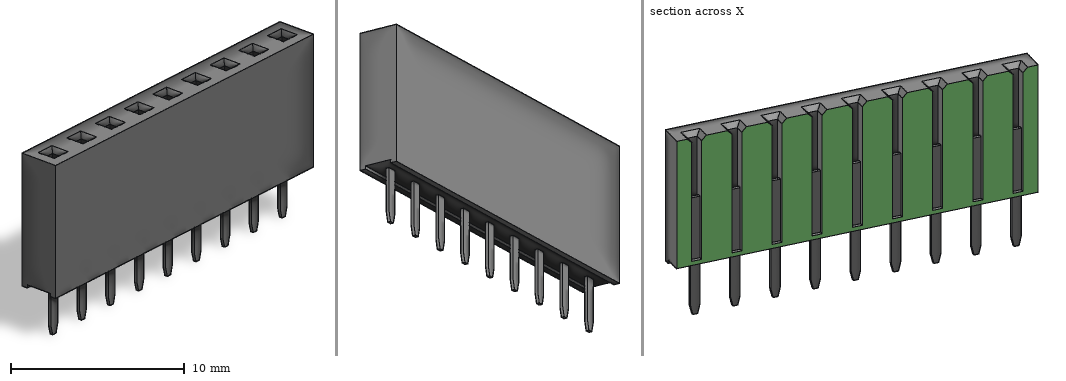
import cadquery as cq

pin_count = 9
pitch = 2.54
body_width = pitch
body_length = pin_count * pitch
body_height = 8.5
tail_length = 3.1

foot_width = 0.4
foot_height = 0.2

funnel_mouth = 1.2
hole_size = 0.6
funnel_depth = 0.3
hole_depth = 8.0

pin_thickness = 0.2
pin_width = 0.6
tip_width = 0.3
tip_length = 0.6
pin_rise = 4.0

pin_bottom = -tail_length
hole_floor = body_height - hole_depth
pin_top = hole_floor + pin_rise
pin_positions = [(i - (pin_count - 1) / 2) * pitch for i in range(pin_count)]


def make_body():
    """Rectangular housing standing on two long feet, with its base at Z = 0."""
    block = cq.Workplane("XY").box(body_width, body_length, body_height, centered=(True, True, False))
    recess_width = body_width - 2 * foot_width
    recess = cq.Workplane("XY").box(recess_width, body_length, foot_height, centered=(True, True, False))
    return block.cut(recess)


def make_socket(y):
    """Cutter for one socket: funnel mouth at the top and blind square hole below it."""
    funnel = (
        cq.Workplane("XY", origin=(0, y, body_height))
        .rect(funnel_mouth, funnel_mouth)
        .workplane(offset=-funnel_depth)
        .rect(hole_size, hole_size)
        .loft(ruled=True)
    )
    hole = (
        cq.Workplane("XY", origin=(0, y, hole_floor))
        .rect(hole_size, hole_size)
        .extrude(hole_depth - funnel_depth)
    )
    return funnel.union(hole)


def make_pin(y):
    """One flat pin: straight strip that narrows to a blunt tip."""
    half_width = pin_width / 2
    half_tip = tip_width / 2
    taper_start = pin_bottom + tip_length
    return (
        cq.Workplane("YZ", origin=(-pin_thickness / 2, y, 0))
        .moveTo(-half_width, pin_top)
        .lineTo(-half_width, taper_start)
        .lineTo(-half_tip, pin_bottom)
        .lineTo(half_tip, pin_bottom)
        .lineTo(half_width, taper_start)
        .lineTo(half_width, pin_top)
        .close()
        .extrude(pin_thickness)
    )


result = make_body()
for pin_y in pin_positions:
    result = result.cut(make_socket(pin_y))
    result = result.union(make_pin(pin_y))